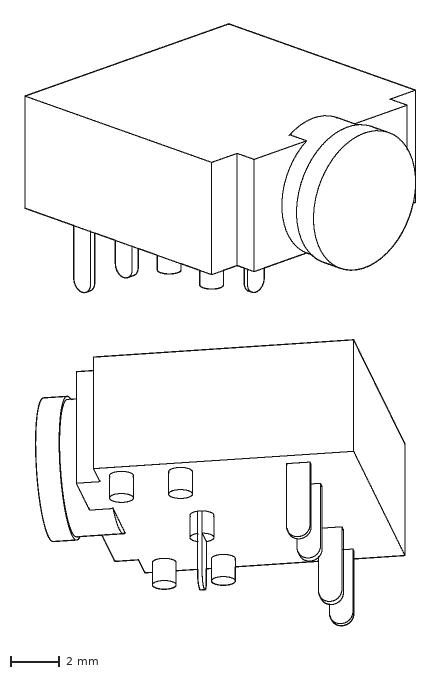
import cadquery as cq

total_length = 14.0
housing_width = 12.0
housing_height = 5.0
housing_length = 11.0
grid = 2.5

block_width = 9.0
step_length = total_length - housing_length
block_length = step_length / 3
ring_length = step_length / 3
barrel_length = step_length - ring_length
barrel_diameter = 5.74
ring_diameter = 6.0
axis_height = housing_height / 2

post_diameter = 1.0
post_length = 1.0
blade_width = 1.0
blade_length = 3.3
outer_blade_thickness = 0.25
inner_blade_thickness = 0.36
centre_blade_thickness = 0.2

rear_row = grid
middle_row = 3 * grid
front_row = 4 * grid
inner_column = grid
outer_column = 2 * grid


def make_blade(thickness):
    """Round-tipped blade hanging from Z = 0, wide along X and thin along Y."""
    radius = blade_width / 2
    return (
        cq.Workplane("XZ")
        .moveTo(-radius, 0)
        .lineTo(-radius, radius - blade_length)
        .threePointArc((0, -blade_length), (radius, radius - blade_length))
        .lineTo(radius, 0)
        .close()
        .extrude(thickness / 2, both=True)
    )


def make_disc(start, diameter, length):
    """Cylinder along the barrel axis, starting at the given X."""
    return (
        cq.Workplane("YZ", origin=(start, 0, axis_height))
        .circle(diameter / 2)
        .extrude(length)
    )


def make_housing(barrel):
    """Housing with its front block, posts and blades, recessed for the barrel."""
    housing = cq.Workplane("XY").box(
        housing_length, housing_width, housing_height, centered=(False, True, False)
    )
    front_block = (
        cq.Workplane("XY")
        .box(block_length, block_width, housing_height, centered=(False, True, False))
        .translate((housing_length, 0, 0))
    )
    housing = housing.union(front_block).cut(barrel)

    post_places = [(middle_row, 0)]
    for row in (middle_row, front_row):
        for column in (-outer_column, outer_column):
            post_places.append((row, column))
    posts = (
        cq.Workplane("XY")
        .pushPoints(post_places)
        .circle(post_diameter / 2)
        .extrude(-post_length)
    )
    housing = housing.union(posts)

    for column, thickness in (
        (inner_column, inner_blade_thickness),
        (outer_column, outer_blade_thickness),
    ):
        for side in (-1, 1):
            blade = make_blade(thickness).translate((rear_row, side * column, 0))
            housing = housing.union(blade)

    centre_blade = make_blade(centre_blade_thickness).rotate((0, 0, 0), (0, 0, 1), 90)
    return housing.union(centre_blade.translate((middle_row, 0, 0)))


barrel = make_disc(housing_length, barrel_diameter, barrel_length)
ring = make_disc(housing_length + barrel_length, ring_diameter, ring_length)
housing = make_housing(barrel)

result = cq.Compound.makeCompound([housing.val(), barrel.val(), ring.val()])